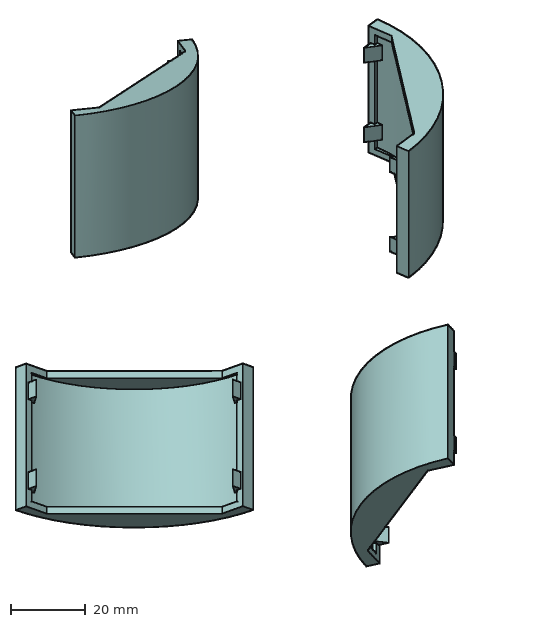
import cadquery as cq
import math

outer_radius = 45.1
height = 41.05
bottom_plate = 2.0
top_plate = 2.1
rim = 4.0
flange_face = outer_radius - rim
flange_length = 7.85
cavity_center = 2.2
cavity_radius = 39.9

hook_edge = 0.8
hook_reach = 3.0
hook_root_depth = 1.55
hook_slope = 0.8
hook_width = hook_slope * (hook_reach + hook_root_depth)
hook_height = 4.83
hook_inset = 5.25


def quarter_profile(radius, center):
    """Quarter arc about (center, center), closed along the flange faces and diagonal mouth."""
    arc_end = center + radius
    arc_middle = center + radius * math.sqrt(0.5)
    return (
        cq.Workplane("XY")
        .moveTo(center, flange_face)
        .lineTo(center, arc_end)
        .threePointArc((arc_middle, arc_middle), (arc_end, center))
        .lineTo(flange_face, center)
        .lineTo(flange_face, flange_length)
        .lineTo(flange_length, flange_face)
        .close()
    )


def hook(bottom):
    """Triangular hook on the flange that faces -Y."""
    root = flange_face + hook_root_depth
    outline = [
        (hook_edge, flange_face - hook_reach),
        (hook_edge + hook_width, root),
        (hook_edge, root),
    ]
    return cq.Workplane("XY").workplane(offset=bottom).polyline(outline).close().extrude(hook_height)


body = quarter_profile(outer_radius, 0).extrude(height)
cavity = quarter_profile(cavity_radius, cavity_center).extrude(height - bottom_plate - top_plate)
result = body.cut(cavity.translate((0, 0, bottom_plate)))

for bottom in (hook_inset, height - hook_inset - hook_height):
    flange_hook = hook(bottom)
    opposite_hook = flange_hook.mirror(cq.Vector(1, -1, 0), (0, 0, 0))
    result = result.union(flange_hook).union(opposite_hook)